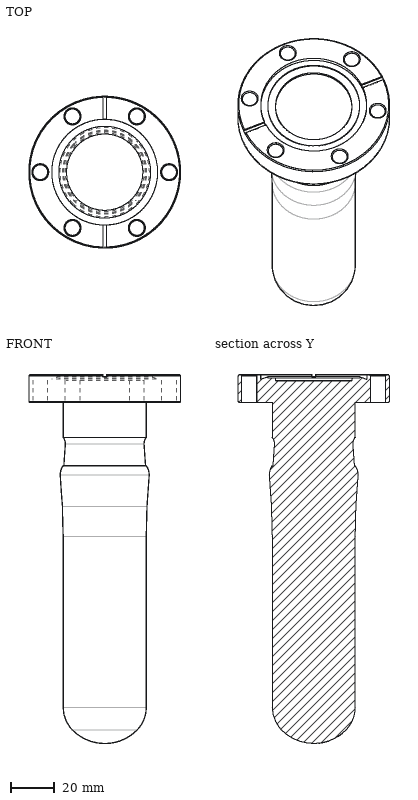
import cadquery as cq
import math

total_length = 168.4

flange_radius = 69.4 / 2
flange_thickness = 12.8
flange_chamfer = 0.5

recess_radius = 48.3 / 2
recess_depth = 2.0
knife_edge_radius = 42.0 / 2
knife_edge_depth = 0.8
inner_floor_depth = 1.5
bore_radius = 34.9 / 2
bore_depth = 2.7

bolt_count = 6
bolt_hole_diameter = 6.7
bolt_hole_chamfer = 0.5
bolt_circle_diameter = 58.8
groove_count = 2
groove_width = 1.7
groove_depth = 0.8

tube_radius = 38.0 / 2
collar_end_depth = 28.6
neck_radius = 18.0
neck_start_depth = 31.7
neck_end_radius = 18.7
neck_end_depth = 41.5

bead_shoulder_radius = 19.2
bead_shoulder_depth = 41.8
bead_radius = 20.4
bead_depth = 45.8
flare_end_radius = 19.4
flare_end_depth = 60.1
taper_end_depth = 73.8

dome_height = 16.5
knuckle_radius = 14.7


def add_axial_arc(profile, start, end):
    """Add an arc between two (radius, depth) points that runs parallel to Z where it ends."""
    radial = start[0] - end[0]
    axial = start[1] - end[1]
    centre_offset = (radial**2 + axial**2) / (2 * radial)
    half_angle = math.asin(axial / centre_offset) / 2
    middle_radius = end[0] + centre_offset * (1 - math.cos(half_angle))
    middle_depth = end[1] + centre_offset * math.sin(half_angle)
    return profile.threePointArc((middle_radius, -middle_depth), (end[0], -end[1]))


def add_dome(profile):
    """Add the knuckle and the crown, from the tube wall to the axis."""
    knuckle_offset = tube_radius - knuckle_radius
    knuckle_z = dome_height - total_length
    crown_radius = (knuckle_offset**2 + dome_height**2 - knuckle_radius**2) / (
        2 * (dome_height - knuckle_radius)
    )
    crown_z = crown_radius - total_length
    join_angle = math.asin(knuckle_offset / (crown_radius - knuckle_radius))
    knuckle_middle_angle = (join_angle + math.pi / 2) / 2
    crown_middle_angle = join_angle / 2

    def knuckle_point(angle):
        return (
            knuckle_offset + knuckle_radius * math.sin(angle),
            knuckle_z - knuckle_radius * math.cos(angle),
        )

    crown_middle = (
        crown_radius * math.sin(crown_middle_angle),
        crown_z - crown_radius * math.cos(crown_middle_angle),
    )
    return (
        profile.lineTo(tube_radius, knuckle_z)
        .threePointArc(knuckle_point(knuckle_middle_angle), knuckle_point(join_angle))
        .threePointArc(crown_middle, (0, -total_length))
    )


def make_tube():
    """Revolve the collar, neck, bead, flare, tube and domed end."""
    neck_start = (neck_radius, neck_start_depth)
    bead = (bead_radius, bead_depth)

    profile = (
        cq.Workplane("XZ")
        .moveTo(0, -flange_thickness)
        .lineTo(tube_radius, -flange_thickness)
        .lineTo(tube_radius, -collar_end_depth)
    )
    profile = add_axial_arc(profile, (tube_radius, collar_end_depth), neck_start)
    profile = profile.lineTo(neck_end_radius, -neck_end_depth)
    profile = profile.lineTo(bead_shoulder_radius, -bead_shoulder_depth)
    profile = add_axial_arc(profile, (bead_shoulder_radius, bead_shoulder_depth), bead)
    profile = profile.lineTo(flare_end_radius, -flare_end_depth)
    profile = profile.lineTo(tube_radius, -taper_end_depth)
    profile = add_dome(profile)
    return profile.close().revolve(360, (0, 0, 0), (0, 1, 0))


def make_flange():
    """Revolve the flange with its recess, knife edge and shallow bore."""
    chamfer_radius = flange_radius - flange_chamfer
    return (
        cq.Workplane("XZ")
        .moveTo(0, -bore_depth)
        .lineTo(bore_radius, -bore_depth)
        .lineTo(bore_radius, -inner_floor_depth)
        .lineTo(knife_edge_radius, -inner_floor_depth)
        .lineTo(knife_edge_radius, -knife_edge_depth)
        .lineTo(recess_radius, -recess_depth)
        .lineTo(recess_radius, 0)
        .lineTo(chamfer_radius, 0)
        .lineTo(flange_radius, -flange_chamfer)
        .lineTo(flange_radius, flange_chamfer - flange_thickness)
        .lineTo(chamfer_radius, -flange_thickness)
        .lineTo(0, -flange_thickness)
        .close()
        .revolve(360, (0, 0, 0), (0, 1, 0))
    )


def make_bolt_holes():
    """Through holes on the bolt circle, the first one on +X, each with a chamfered mouth at the top."""
    hole_radius = bolt_hole_diameter / 2
    mouth_radius = hole_radius + bolt_hole_chamfer
    hole = (
        cq.Workplane("XZ")
        .moveTo(0, 0)
        .lineTo(mouth_radius, 0)
        .lineTo(hole_radius, -bolt_hole_chamfer)
        .lineTo(hole_radius, -flange_thickness)
        .lineTo(0, -flange_thickness)
        .close()
        .revolve(360, (0, 0, 0), (0, 1, 0))
    )
    return (
        cq.Workplane("XY")
        .polarArray(bolt_circle_diameter / 2, 0, 360, bolt_count)
        .eachpoint(hole.val(), combine=True)
    )


def make_grooves():
    """Leak-check grooves along Y, from the recess wall out through the rim."""
    groove_start = (knife_edge_radius + recess_radius) / 2
    groove_length = flange_radius - groove_start
    groove_middle = (flange_radius + groove_start) / 2
    return (
        cq.Workplane("XY")
        .polarArray(groove_middle, 90, 360, groove_count)
        .rect(groove_length, groove_width)
        .extrude(-groove_depth)
    )


flange = make_flange().cut(make_bolt_holes()).cut(make_grooves())
result = flange.union(make_tube())